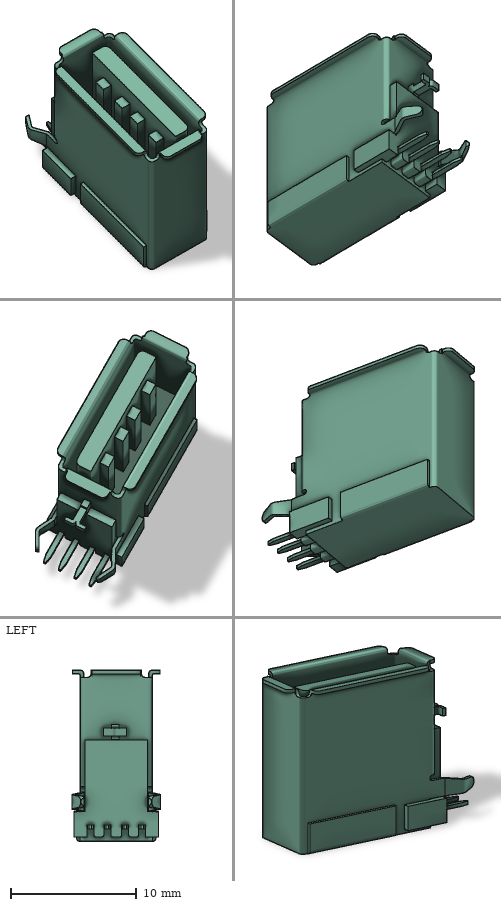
import cadquery as cq
import math

HEIGHT = 13.7
SHELL_X = 13.05
SHELL_Y = 5.78
SHEET = 0.3
INNER_CORNER = 0.25
OUTER_CORNER = 0.38
HALF_X = SHELL_X / 2
HALF_Y = SHELL_Y / 2

NOTCH_DEPTH = 0.58
NOTCH_FILLET = 0.28
LIP_CREST_RADIUS = 0.28
LIP_UNDER_RADIUS = 0.15
LIP_CORNER = 0.5
LONG_LIP = 11.2
SHORT_LIP = 3.85
SHORT_LIP_ROOT = 4.06
LIP_REACH_X = 7.26
LIP_REACH_Y = 3.52

FLAP_LEFT = -2.43
FLAP_RIGHT = 5.95
FLAP_HEIGHT = 2.57

BODY_BACK = -7.21
BODY_HALF_Y = HALF_Y - OUTER_CORNER
BODY_TOP = 8.1
FLOOR = 4.81
SHELF_BACK = -5.97
BLOCK_FRONT = -3.45
BLOCK_BOTTOM = 0.35
BLOCK_TOP = 2.4
BLOCK_Y = 6.79

SLOT_BOTTOM = 3.94
SLOT_TOP = 4.4
SLOT_END = -5.93
SLOT_FILLET = 0.21

ARM_BEND = -7.37
ARM_TIP = -10.24
ARM_REACH_Y = 3.55
ARM_SLOPE = math.radians(28)
ARM_Z = 3.17
ARM_ROOT_HALF = 0.74
ARM_TIP_HALF = 0.45
ARM_BEND_RADIUS = 0.26

PIN_Y = (-2.06, -0.72, 0.72, 2.06)
PIN_WIDTH = 0.45
PIN_TOP = 1.31
PIN_TIP = -10.13
PIN_SHOULDER = -9.45
PIN_TIP_WIDTH = 0.2
PIN_SLOT_WIDTH = 0.56
TOOTH_FILLET = 0.2

LATCH_Y = 0.09
LATCH_Z = 8.75
LATCH_TIP = -8.77
LATCH_BAR = 1.84
LATCH_HEIGHT = 0.65
LATCH_ROOT_HEIGHT = 1.19
LATCH_ROOT_BACK = -7.15
LATCH_INNER_BEND = 0.1

TONGUE_X = 11.1
TONGUE_FRONT = 0.32
TONGUE_BACK = 1.78
TONGUE_TOP = 13.26
TONGUE_BACK_RADIUS = 0.5
TONGUE_FRONT_RADIUS = 0.09
CONTACT_X = (-3.5, -1.02, 1.02, 3.5)
CONTACT_WIDTH = 1.02
CONTACT_FRONT = -0.47
CONTACT_TOP = 11.67


def box(x0, x1, y0, y1, z0, z1):
    """Box given by its limits along each axis."""
    return cq.Workplane("XY").box(x1 - x0, y1 - y0, z1 - z0, centered=False).translate((x0, y0, z0))


def shell_walls():
    """Rounded rectangular tube up to the bottom of the lip notches."""
    height = HEIGHT - NOTCH_DEPTH
    outer = box(-HALF_X, HALF_X, -HALF_Y, HALF_Y, 0, height).edges("|Z").fillet(OUTER_CORNER)
    inner_x = HALF_X - SHEET
    inner_y = HALF_Y - SHEET
    cavity = box(-inner_x, inner_x, -inner_y, inner_y, FLOOR, height).edges("|Z").fillet(INNER_CORNER)
    return outer.cut(cavity)


def concave_fillet(u, z, radius, side_u, side_z):
    """Outline of a fillet in the corner (u, z), spreading to side_u and side_z, on an XZ plane."""
    chord = radius * (1 - math.sqrt(0.5))
    return (
        cq.Workplane("XZ")
        .moveTo(u, z)
        .lineTo(u + side_u * radius, z)
        .threePointArc((u + side_u * chord, z + side_z * chord), (u, z + side_z * radius))
        .close()
    )


def lip(wall, reach, root_width, width):
    """Lip flaring toward +X from a wall whose outer face is at X = wall."""
    inner = wall - SHEET
    notch = HEIGHT - NOTCH_DEPTH
    root_half = root_width / 2
    upright = box(inner, wall, -root_half, root_half, notch, HEIGHT)
    upright = upright.edges("|Y").edges("<X").edges(">Z").fillet(LIP_CREST_RADIUS)
    flange = box(wall, reach, -width / 2, width / 2, HEIGHT - SHEET, HEIGHT)
    flange = flange.edges("|Z").edges(">X").fillet(LIP_CORNER)
    under = concave_fillet(wall, HEIGHT - SHEET, LIP_UNDER_RADIUS, 1, -1)
    under = under.extrude(width / 2, both=True)
    flared = upright.union(flange).union(under)
    for side in (-1, 1):
        foot = concave_fillet(side * root_half, notch, NOTCH_FILLET, side, 1)
        foot = foot.extrude(SHEET).rotate((0, 0, 0), (0, 0, 1), 90).translate((inner, 0, 0))
        flared = flared.union(foot)
    return flared


def lips():
    short = lip(HALF_X, LIP_REACH_X, SHORT_LIP_ROOT, SHORT_LIP)
    long = lip(HALF_Y, LIP_REACH_Y, LONG_LIP, LONG_LIP).rotate((0, 0, 0), (0, 0, 1), 90)
    return short.union(short.mirror("YZ")).union(long).union(long.mirror("XZ"))


def flaps():
    """Flaps one sheet thick, rounded along their bottom edge."""
    half = HALF_Y + SHEET
    flap = box(FLAP_LEFT, FLAP_RIGHT, -half, half, 0, FLAP_HEIGHT)
    return flap.edges("|X").edges("<Z").fillet(SHEET)


def corner_relief():
    """Cut that frees the lower back corners and ends in the rounded relief slots."""
    cut_back = BODY_BACK - SHEET
    slot = box(cut_back, SLOT_END, -HALF_Y, HALF_Y, SLOT_BOTTOM, SLOT_TOP)
    slot = slot.edges("|Y").edges(">X").fillet(SLOT_FILLET)
    lower = box(cut_back, SHELF_BACK, -HALF_Y, HALF_Y, 0, SLOT_BOTTOM)
    return slot.union(lower)


def body():
    """Back plate, and the wide block whose rear is a comb with the pins between its teeth."""
    plate = box(BODY_BACK, SLOT_END, -BODY_HALF_Y, BODY_HALF_Y, BLOCK_TOP, FLOOR)
    upper = box(BODY_BACK, SHEET / 2 - HALF_X, -BODY_HALF_Y, BODY_HALF_Y, FLOOR, BODY_TOP)
    block_half = BLOCK_Y / 2
    block = box(SHELF_BACK, BLOCK_FRONT, -block_half, block_half, BLOCK_BOTTOM, BLOCK_TOP)
    comb = box(BODY_BACK, SHELF_BACK, -block_half, block_half, BLOCK_BOTTOM, BLOCK_TOP)
    slot_half = PIN_SLOT_WIDTH / 2
    for y in PIN_Y:
        comb = comb.cut(box(BODY_BACK, SHELF_BACK, y - slot_half, y + slot_half, BLOCK_BOTTOM, PIN_TOP))
    teeth = cq.selectors.BoxSelector((BODY_BACK, PIN_Y[0], 0), (SHELF_BACK, PIN_Y[-1], PIN_TOP / 2))
    comb = comb.edges("|X").edges(teeth).fillet(TOOTH_FILLET)
    return plate.union(upper).union(block).union(comb)


def spring_arm():
    """Arm on the +Y side: a bent strip, tapered and rounded in side outline."""
    root_x = SLOT_END
    outer_bend = ARM_BEND_RADIUS + SHEET
    peak_y = ARM_REACH_Y + outer_bend * (1 / math.cos(ARM_SLOPE) - 1)
    peak_x = ARM_BEND - (peak_y - HALF_Y) / math.tan(ARM_SLOPE)
    tip_y = peak_y - (peak_x - ARM_TIP) * math.tan(ARM_SLOPE)
    inner_tip = (ARM_TIP + SHEET * math.sin(ARM_SLOPE), tip_y - SHEET * math.cos(ARM_SLOPE))
    inner_peak = (peak_x, peak_y - SHEET / math.cos(ARM_SLOPE))
    inner_bend_x = ARM_BEND - SHEET * math.tan(ARM_SLOPE / 2)
    strip = (
        cq.Workplane("XY")
        .polyline([
            (root_x, HALF_Y), (ARM_BEND, HALF_Y), (peak_x, peak_y), (ARM_TIP, tip_y),
            inner_tip, inner_peak, (inner_bend_x, HALF_Y - SHEET), (root_x, HALF_Y - SHEET),
        ])
        .close()
        .extrude(SLOT_TOP)
    )
    strip = strip.edges("|Z").edges(">Y").fillet(outer_bend)
    inner_peak_edge = cq.selectors.NearestToPointSelector((*inner_peak, SLOT_TOP / 2))
    strip = strip.edges(inner_peak_edge).fillet(ARM_BEND_RADIUS)
    outline = (
        cq.Workplane("XZ")
        .moveTo(root_x, ARM_Z - ARM_ROOT_HALF)
        .lineTo(ARM_BEND, ARM_Z - ARM_ROOT_HALF)
        .lineTo(ARM_TIP + ARM_TIP_HALF, ARM_Z - ARM_TIP_HALF)
        .threePointArc((ARM_TIP, ARM_Z), (ARM_TIP + ARM_TIP_HALF, ARM_Z + ARM_TIP_HALF))
        .lineTo(ARM_BEND, ARM_Z + ARM_ROOT_HALF)
        .lineTo(BODY_BACK, SLOT_BOTTOM)
        .lineTo(root_x, SLOT_BOTTOM)
        .close()
        .extrude(LIP_REACH_X, both=True)
    )
    return strip.intersect(outline)


def pin(y):
    half = PIN_WIDTH / 2
    tip_half = PIN_TIP_WIDTH / 2
    return (
        cq.Workplane("XY", origin=(0, y, PIN_TOP - SHEET))
        .polyline([
            (SLOT_END, -half), (PIN_SHOULDER, -half), (PIN_TIP, -tip_half),
            (PIN_TIP, tip_half), (PIN_SHOULDER, half), (SLOT_END, half),
        ])
        .close()
        .extrude(SHEET)
    )


def latch():
    """Two sheets back to back: a stem out of the back wall, folded apart into a cross bar."""
    wall = SHEET / 2 - HALF_X
    low = LATCH_Z - LATCH_HEIGHT / 2
    high = LATCH_Z + LATCH_HEIGHT / 2
    root_half = LATCH_ROOT_HEIGHT / 2
    bar_front = LATCH_TIP + SHEET
    stem = box(LATCH_TIP, wall, 0, SHEET, low, high)
    bar = box(LATCH_TIP, bar_front, 0, LATCH_BAR / 2, low, high)
    half = stem.union(bar).clean()
    half = half.edges("|Z").edges("<X").edges("<Y").fillet(SHEET)
    inner_bend = cq.selectors.NearestToPointSelector((bar_front, SHEET, LATCH_Z))
    half = half.edges(inner_bend).fillet(LATCH_INNER_BEND)
    root = box(LATCH_ROOT_BACK, wall, 0, SHEET, LATCH_Z - root_half, LATCH_Z + root_half)
    half = half.union(root)
    return half.union(half.mirror("XZ")).translate((0, LATCH_Y, 0))


def tongue():
    block = box(-TONGUE_X / 2, TONGUE_X / 2, TONGUE_FRONT, TONGUE_BACK, FLOOR, TONGUE_TOP)
    block = block.edges("|Z").edges(">Y").fillet(TONGUE_BACK_RADIUS)
    block = block.edges("|Z").edges("<Y").fillet(TONGUE_FRONT_RADIUS)
    half = CONTACT_WIDTH / 2
    for x in CONTACT_X:
        block = block.union(box(x - half, x + half, CONTACT_FRONT, TONGUE_FRONT, FLOOR, CONTACT_TOP))
    return block


shell = shell_walls().union(flaps()).cut(corner_relief()).union(lips())
arm = spring_arm()
result = shell.union(body()).union(arm).union(arm.mirror("XZ"))
for pin_y in PIN_Y:
    result = result.union(pin(pin_y))
result = result.union(latch()).union(tongue())